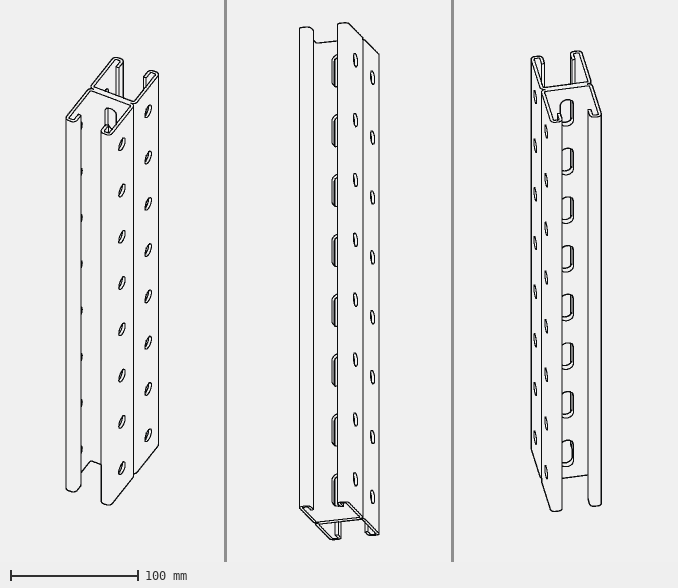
import cadquery as cq

channel_width = 41.0
channel_depth = 41.0
length = 400.0
thickness = 2.5
bend_outer_radius = 3.5
bend_inner_radius = bend_outer_radius - thickness
mouth_width = 22.0
lip_depth = 10.0

pitch = 50.0
hole_count = int(length / pitch)
hole_heights = [(row + 0.5) * pitch for row in range(hole_count)]
slot_width = 10.5
slot_length = 27.0
side_hole_diameter = 10.5
side_hole_offset = 21.5


def round_bends(body, corners, radius):
    """Fillet the long edges that stand at the given XY corners."""
    for x, y in corners:
        edge = cq.selectors.NearestToPointSelector((x, y, length / 2))
        body = body.edges("|Z").edges(edge).fillet(radius)
    return body


def half_channel():
    """The +X half of the channel opening toward +Y, with its back on the joint plane."""
    outer_x = channel_width / 2
    inner_x = outer_x - thickness
    lip_x = mouth_width / 2
    lip_back_x = lip_x + thickness
    mouth_y = channel_depth
    flange_y = mouth_y - thickness
    lip_end_y = mouth_y - lip_depth

    outer_corners = [(outer_x, 0), (outer_x, mouth_y), (lip_x, mouth_y)]
    inner_corners = [(lip_back_x, flange_y), (inner_x, flange_y), (inner_x, thickness)]
    lip_end = [(lip_x, lip_end_y), (lip_back_x, lip_end_y)]
    outline = [(0, 0)] + outer_corners + lip_end + inner_corners + [(0, thickness)]

    body = cq.Workplane("XY").polyline(outline).close().extrude(length)
    body = round_bends(body, outer_corners, bend_outer_radius)
    return round_bends(body, inner_corners, bend_inner_radius)


def double_channel():
    """Mirror the half channel across X, then across the joint plane."""
    half = half_channel()
    channel = half.union(half.mirror("YZ"))
    return channel.union(channel.mirror("XZ"))


def web_slots():
    """Cutters for the upright slots through both webs."""
    return (
        cq.Workplane("XZ")
        .pushPoints([(0, z) for z in hole_heights])
        .slot2D(slot_length, slot_width, 90)
        .extrude(channel_depth, both=True)
    )


def side_holes():
    """Cutters for the round holes through the side walls of both channels."""
    centres = [(side * side_hole_offset, z) for side in (-1, 1) for z in hole_heights]
    return (
        cq.Workplane("YZ")
        .pushPoints(centres)
        .circle(side_hole_diameter / 2)
        .extrude(channel_width, both=True)
    )


result = double_channel().cut(web_slots()).cut(side_holes())